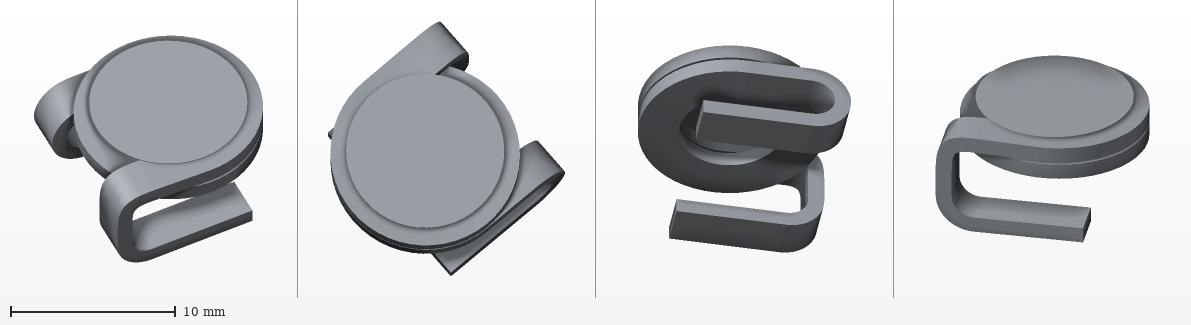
import cadquery as cq
import math

COIL_DIAMETER = 11.5
STRIP_WIDTH = 2.5
STRIP_THICKNESS = 1.0
COIL_PITCH = 1.15
COIL_TURNS = 1.5
BEND_RADIUS = 2.35
BEND_REACH = 6.25
FOOT_END = 2.85
ARM_LENGTH = 3.78
UPRIGHT_TOP = 4.16
OUTER_HANDLE = 1.95
INNER_HANDLE = 1.3
LABEL_DIAMETER = 9.6
LABEL_THICKNESS = 0.05
LABEL_TOP = 6.62

COIL_RADIUS = COIL_DIAMETER / 2
MEAN_RADIUS = COIL_RADIUS - STRIP_WIDTH / 2
INNER_BEND_RADIUS = BEND_RADIUS - STRIP_THICKNESS
BEND_Y = -BEND_REACH + BEND_RADIUS
LOW_TOP = 2 * BEND_RADIUS
HIGH_TOP = LOW_TOP + COIL_TURNS * COIL_PITCH

SLOPE = math.atan(COIL_PITCH / (2 * math.pi * MEAN_RADIUS))


def make_coil():
    """Flat strip wound upwards from the -X side to the +X side, clockwise seen from above."""
    path = cq.Wire.makeHelix(COIL_PITCH, COIL_TURNS * COIL_PITCH, MEAN_RADIUS, lefthand=True)
    section = cq.Workplane("XZ").center(MEAN_RADIUS, 0).rect(STRIP_WIDTH, STRIP_THICKNESS)
    coil = section.sweep(cq.Workplane(path), isFrenet=True)
    start_z = LOW_TOP - STRIP_THICKNESS / 2
    return coil.rotate((0, 0, 0), (0, 0, 1), 180).translate((0, 0, start_z))


def make_low_leg():
    """Hairpin leg on the -X side: a level arm, a half-round bend and a foot."""
    return (
        cq.Workplane("YZ", origin=(-COIL_RADIUS, 0, 0))
        .moveTo(0, LOW_TOP)
        .lineTo(BEND_Y, LOW_TOP)
        .threePointArc((-BEND_REACH, BEND_RADIUS), (BEND_Y, 0))
        .lineTo(FOOT_END, 0)
        .lineTo(FOOT_END, STRIP_THICKNESS)
        .lineTo(BEND_Y, STRIP_THICKNESS)
        .threePointArc((-BEND_REACH + STRIP_THICKNESS, BEND_RADIUS), (BEND_Y, LOW_TOP - STRIP_THICKNESS))
        .lineTo(0, LOW_TOP - STRIP_THICKNESS)
        .close()
        .extrude(STRIP_WIDTH)
    )


def offset_point(point, distance, angle):
    """Point at a distance from a (Y, Z) point; the angle is measured from -Y towards +Z, in radians."""
    return (point[0] - distance * math.cos(angle), point[1] + distance * math.sin(angle))


def shoulder_curve(arm_end, upright_end, handle):
    """Bezier points of a curve that leaves the arm along its slope and meets the upright vertically."""
    return [
        arm_end,
        offset_point(arm_end, handle, SLOPE),
        offset_point(upright_end, handle, math.pi / 2),
        upright_end,
    ]


def make_tall_leg():
    """Leg on the +X side: a rising arm, a free-form shoulder, an upright, a round bend and a foot."""
    down = -math.pi / 2
    foot_bend_center = (BEND_Y, BEND_RADIUS)
    foot_bend_middle = -math.pi / 4

    arm_outer = (-ARM_LENGTH, HIGH_TOP + ARM_LENGTH * math.tan(SLOPE))
    arm_inner = offset_point(arm_outer, STRIP_THICKNESS, down + SLOPE)
    upright_outer = (-BEND_REACH, UPRIGHT_TOP)
    upright_inner = (-BEND_REACH + STRIP_THICKNESS, UPRIGHT_TOP)

    return (
        cq.Workplane("YZ", origin=(COIL_RADIUS - STRIP_WIDTH, 0, 0))
        .moveTo(0, HIGH_TOP)
        .lineTo(*arm_outer)
        .bezier(shoulder_curve(arm_outer, upright_outer, OUTER_HANDLE))
        .lineTo(-BEND_REACH, BEND_RADIUS)
        .threePointArc(offset_point(foot_bend_center, BEND_RADIUS, foot_bend_middle), (BEND_Y, 0))
        .lineTo(FOOT_END, 0)
        .lineTo(FOOT_END, STRIP_THICKNESS)
        .lineTo(BEND_Y, STRIP_THICKNESS)
        .threePointArc(
            offset_point(foot_bend_center, INNER_BEND_RADIUS, foot_bend_middle),
            (-BEND_REACH + STRIP_THICKNESS, BEND_RADIUS),
        )
        .lineTo(*upright_inner)
        .bezier(shoulder_curve(arm_inner, upright_inner, INNER_HANDLE)[::-1])
        .lineTo(0, HIGH_TOP - STRIP_THICKNESS / math.cos(SLOPE))
        .close()
        .extrude(STRIP_WIDTH)
    )


def make_label():
    """Thin level disc on top of the spring."""
    disc = cq.Workplane("XY", origin=(0, 0, LABEL_TOP - LABEL_THICKNESS)).circle(LABEL_DIAMETER / 2)
    return disc.extrude(LABEL_THICKNESS)


spring = make_coil().union(make_low_leg()).union(make_tall_leg())
label = make_label()

result = cq.Compound.makeCompound([spring.solids().val(), label.val()])